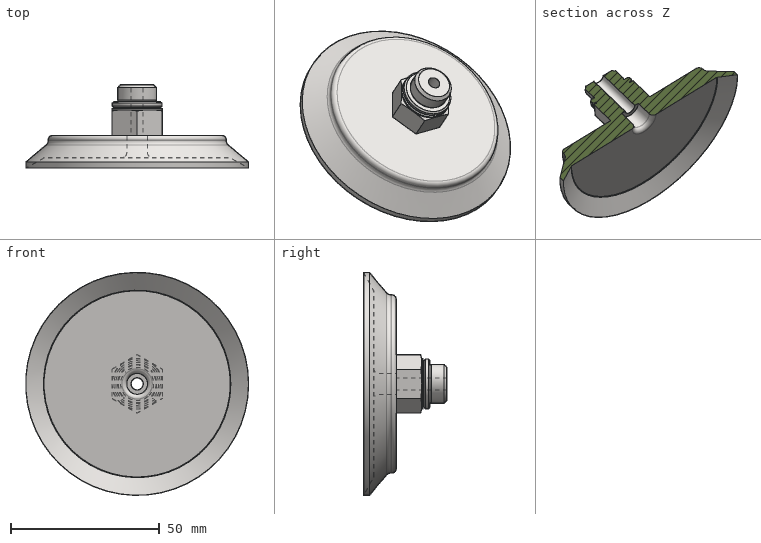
import cadquery as cq
import math


RIM_RADIUS = 75 / 2
RIM_LENGTH = 2.0
CUP_BACK = 11.0
CUP_BACK_RADIUS = 60 / 2
BACK_EDGE_FILLET = 1.6
WAIST_FILLET = 2.0
SKIRT_ANGLE = math.radians(50)

RECESS_DEPTH = 3.5
FLOOR_RADIUS = 31.5
FLOOR_STEP = 0.2

SUCTION_RADIUS = 7 / 2
SUCTION_FILLET = 1.6
THROUGH_DIAMETER = 4.0

HEX_ACROSS_FLATS = 17.0
HEX_TOP = 20.05
HEX_COLLAR_HEIGHT = 0.5
HEX_CHAMFER_ANGLE = math.radians(15)

NECK_RADIUS = 14.4 / 2
RING_RADIUS = 16.8 / 2
RING_END_RADIUS = 15.6 / 2
RING_CHAMFER_LENGTH = 0.5
RING_START = 20.3
RING_END = 22.3
THREAD_RADIUS = 13.16 / 2
THREAD_START = 22.8
THREAD_END = 28.0
THREAD_CHAMFER = 1.0
UNDERCUT_DEPTH = 0.25


def revolve_profile(profile):
    """Turn a closed (radius, y) outline about the Y axis."""
    return profile.close().revolve(360, (0, 0, 0), (0, 1, 0))


def arc_point(center, radius, angle):
    """Point on a circle at an angle measured from the radial direction."""
    return (center[0] + radius * math.cos(angle), center[1] + radius * math.sin(angle))


def make_cup():
    skirt_top_radius = CUP_BACK_RADIUS + WAIST_FILLET * (1 - math.cos(SKIRT_ANGLE))
    skirt_top = RIM_LENGTH + (RIM_RADIUS - skirt_top_radius) / math.tan(SKIRT_ANGLE)
    waist_top = skirt_top + WAIST_FILLET * math.sin(SKIRT_ANGLE)
    waist_center = (CUP_BACK_RADIUS + WAIST_FILLET, waist_top)
    waist_middle = arc_point(waist_center, WAIST_FILLET, math.pi + SKIRT_ANGLE / 2)

    fillet_start = CUP_BACK - BACK_EDGE_FILLET
    fillet_center = (CUP_BACK_RADIUS - BACK_EDGE_FILLET, fillet_start)
    fillet_middle = arc_point(fillet_center, BACK_EDGE_FILLET, math.pi / 4)

    outline = (
        cq.Workplane("XY")
        .moveTo(0, 0)
        .lineTo(RIM_RADIUS, 0)
        .lineTo(RIM_RADIUS, RIM_LENGTH)
        .lineTo(skirt_top_radius, skirt_top)
        .threePointArc(waist_middle, (CUP_BACK_RADIUS, waist_top))
        .lineTo(CUP_BACK_RADIUS, fillet_start)
        .threePointArc(fillet_middle, (fillet_center[0], CUP_BACK))
        .lineTo(0, CUP_BACK)
    )
    return revolve_profile(outline)


def make_recess():
    slope_depth = RECESS_DEPTH - FLOOR_STEP
    step_radius = FLOOR_RADIUS - FLOOR_STEP
    outline = (
        cq.Workplane("XY")
        .moveTo(0, 0)
        .lineTo(RIM_RADIUS, 0)
        .lineTo(FLOOR_RADIUS, slope_depth)
        .lineTo(step_radius, slope_depth)
        .lineTo(step_radius, RECESS_DEPTH)
        .lineTo(0, RECESS_DEPTH)
    )
    return revolve_profile(outline)


def make_suction_bore():
    mouth_radius = SUCTION_RADIUS + SUCTION_FILLET
    fillet_end = RECESS_DEPTH + SUCTION_FILLET
    fillet_middle = arc_point((mouth_radius, fillet_end), SUCTION_FILLET, math.radians(225))
    outline = (
        cq.Workplane("XY")
        .moveTo(0, RECESS_DEPTH)
        .lineTo(mouth_radius, RECESS_DEPTH)
        .threePointArc(fillet_middle, (SUCTION_RADIUS, fillet_end))
        .lineTo(SUCTION_RADIUS, CUP_BACK)
        .lineTo(0, CUP_BACK)
    )
    return revolve_profile(outline)


def cylinder_along_y(radius, start, end):
    return cq.Workplane("XZ", origin=(0, start, 0)).circle(radius).extrude(start - end)


def make_hexagon():
    flat_radius = HEX_ACROSS_FLATS / 2
    corner_radius = flat_radius / math.cos(math.pi / 6)
    collar_start = HEX_TOP - HEX_COLLAR_HEIGHT
    chamfer_drop = (corner_radius - flat_radius) * math.tan(HEX_CHAMFER_ANGLE)

    prism = (
        cq.Workplane("XZ", origin=(0, CUP_BACK, 0))
        .transformed(rotate=(0, 0, 90))
        .polygon(6, 2 * corner_radius)
        .extrude(CUP_BACK - HEX_TOP)
    )
    envelope = (
        cq.Workplane("XY")
        .moveTo(0, CUP_BACK)
        .lineTo(corner_radius, CUP_BACK)
        .lineTo(corner_radius, collar_start - chamfer_drop)
        .lineTo(flat_radius, collar_start)
        .lineTo(flat_radius, HEX_TOP)
        .lineTo(0, HEX_TOP)
    )
    return prism.intersect(revolve_profile(envelope))


def make_threaded_end():
    outline = (
        cq.Workplane("XY")
        .moveTo(0, HEX_TOP)
        .lineTo(NECK_RADIUS, HEX_TOP)
        .lineTo(NECK_RADIUS, RING_START)
        .lineTo(RING_END_RADIUS, RING_START)
        .lineTo(RING_RADIUS, RING_START + RING_CHAMFER_LENGTH)
        .lineTo(RING_RADIUS, RING_END - RING_CHAMFER_LENGTH)
        .lineTo(RING_END_RADIUS, RING_END)
        .lineTo(THREAD_RADIUS - UNDERCUT_DEPTH, RING_END)
        .lineTo(THREAD_RADIUS, THREAD_START)
        .lineTo(THREAD_RADIUS, THREAD_END - THREAD_CHAMFER)
        .lineTo(THREAD_RADIUS - THREAD_CHAMFER, THREAD_END)
        .lineTo(0, THREAD_END)
    )
    return revolve_profile(outline)


result = (
    make_cup()
    .cut(make_recess())
    .union(make_hexagon())
    .union(make_threaded_end())
    .cut(make_suction_bore())
    .cut(cylinder_along_y(THROUGH_DIAMETER / 2, 0, THREAD_END))
)